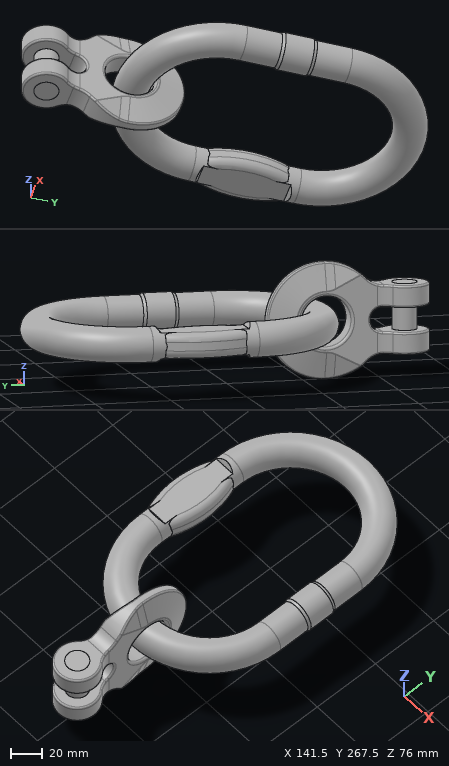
import cadquery as cq
import math

link_rod_diameter = 23.0
link_bend_radius = 56.5
link_straight_length = 70.0

weld_diameter = 24.5
weld_crest_length = 19.0
weld_chamfer_length = 2.1

swell_width = 32.5
swell_end_width = 22.5
swell_length = 53.5
swell_edge_radius = 5.5
flat_thickness = 16.8
flat_length = 58.0
flat_ramp_length = 2.1

overall_length = 267.5
eye_to_pin = 53.5
eye_outer_diameter = 76.0
eye_hole_diameter = 33.0
body_thickness = 16.5

taper_start_radius = 19.8
rim_thickness = 6.2
taper_bend_radius = 13.5
taper_runout_slope = 0.5

lug_diameter = 32.0
lug_span = 44.7
lug_gap = 16.0
slot_bottom_offset = 29.0
throat_radius = 15.5
flare_radius = 13.5
edge_round = 1.28
hole_edge_round = 2.0

pin_diameter = 16.0

rod_radius = link_rod_diameter / 2
half_straight = link_straight_length / 2
link_end_y = half_straight + link_bend_radius + rod_radius
flat_z = flat_thickness / 2
eye_radius = eye_outer_diameter / 2
half_body = body_thickness / 2
lug_radius = lug_diameter / 2
half_span = lug_span / 2
half_gap = lug_gap / 2
pin_y = link_end_y - overall_length + lug_radius
eye_y = pin_y + eye_to_pin
lug_end_y = pin_y - lug_radius


def make_rod():
    """Round bar swept along a closed oval path."""
    path = (
        cq.Workplane("XY")
        .moveTo(link_bend_radius, -half_straight)
        .lineTo(link_bend_radius, half_straight)
        .threePointArc((0, half_straight + link_bend_radius), (-link_bend_radius, half_straight))
        .lineTo(-link_bend_radius, -half_straight)
        .threePointArc((0, -half_straight - link_bend_radius), (link_bend_radius, -half_straight))
        .close()
    )
    section = cq.Workplane("XZ", origin=(link_bend_radius, -half_straight, 0)).circle(rod_radius)
    return section.sweep(path)


def make_weld():
    """Raised collar with chamfered ends on the +X side."""
    length = weld_crest_length + 2 * weld_chamfer_length
    crest = weld_diameter / 2
    return (
        cq.Workplane("XY", origin=(link_bend_radius, 0, 0))
        .moveTo(0, -length / 2)
        .lineTo(rod_radius, -length / 2)
        .lineTo(crest, -weld_crest_length / 2)
        .lineTo(crest, weld_crest_length / 2)
        .lineTo(rod_radius, length / 2)
        .lineTo(0, length / 2)
        .close()
        .revolve(360, (0, 0, 0), (0, 1, 0))
    )


def make_flat_cutter():
    """Trapezoid above the flat, with ramps at both ends that run out at the rod surface."""
    ramp_slope = flat_ramp_length / (rod_radius - flat_z)
    cutter_height = link_rod_diameter
    top_half = flat_length / 2 + ramp_slope * cutter_height
    return (
        cq.Workplane("YZ", origin=(-link_bend_radius, 0, flat_z))
        .polyline([
            (-flat_length / 2, 0),
            (flat_length / 2, 0),
            (top_half, cutter_height),
            (-top_half, cutter_height),
        ])
        .close()
        .extrude(swell_width / 2, both=True)
    )


def make_swell():
    """Bulged flat block with rounded long edges on the -X side."""
    end_x = swell_end_width / 2
    end_y = swell_length / 2
    return (
        cq.Workplane("XY", origin=(-link_bend_radius, 0, -flat_z))
        .moveTo(end_x, -end_y)
        .threePointArc((swell_width / 2, 0), (end_x, end_y))
        .lineTo(-end_x, end_y)
        .threePointArc((-swell_width / 2, 0), (-end_x, -end_y))
        .close()
        .extrude(flat_thickness)
        .edges("(<X or >X) and (not |Z)")
        .fillet(swell_edge_radius)
    )


def make_link():
    flat_cutter = make_flat_cutter()
    return (
        make_rod()
        .cut(flat_cutter)
        .cut(flat_cutter.mirror("XY"))
        .union(make_swell())
        .union(make_weld())
    )


def make_side_profile():
    """Eye disc blended into the lug block, seen along X and as wide as the lugs."""
    centre_height = half_span + throat_radius
    centre_distance = eye_radius + throat_radius
    centre_offset = math.sqrt(centre_distance ** 2 - centre_height ** 2)
    share = eye_radius / centre_distance
    rim_y = eye_y - centre_offset * share
    rim_z = centre_height * share
    flat_start_y = eye_y - centre_offset
    start_angle = math.atan2(centre_height, centre_offset)
    mid_angle = (start_angle + math.pi / 2) / 2
    mid_y = flat_start_y + throat_radius * math.cos(mid_angle)
    mid_z = centre_height - throat_radius * math.sin(mid_angle)
    return (
        cq.Workplane("YZ")
        .moveTo(rim_y, rim_z)
        .threePointArc((eye_y + eye_radius, 0), (rim_y, -rim_z))
        .threePointArc((mid_y, -mid_z), (flat_start_y, -half_span))
        .lineTo(lug_end_y, -half_span)
        .lineTo(lug_end_y, half_span)
        .lineTo(flat_start_y, half_span)
        .threePointArc((mid_y, mid_z), (rim_y, rim_z))
        .close()
        .extrude(lug_radius, both=True)
    )


def make_plan_profile():
    """Straight body flaring into the round lugs, seen along Z."""
    centre_x = half_body + flare_radius
    centre_distance = lug_radius + flare_radius
    centre_offset = math.sqrt(centre_distance ** 2 - centre_x ** 2)
    share = lug_radius / centre_distance
    lug_x = centre_x * share
    lug_y = pin_y + centre_offset * share
    flare_y = pin_y + centre_offset
    mid_angle = math.atan2(centre_offset, centre_x) / 2
    mid_x = centre_x - flare_radius * math.cos(mid_angle)
    mid_y = flare_y - flare_radius * math.sin(mid_angle)
    back_y = eye_y + eye_radius
    return (
        cq.Workplane("XY")
        .moveTo(half_body, back_y)
        .lineTo(half_body, flare_y)
        .threePointArc((mid_x, mid_y), (lug_x, lug_y))
        .threePointArc((0, lug_end_y), (-lug_x, lug_y))
        .threePointArc((-mid_x, mid_y), (-half_body, flare_y))
        .lineTo(-half_body, back_y)
        .close()
        .extrude(eye_radius, both=True)
    )


def make_slot():
    """Round-bottomed gap between the lugs."""
    round_y = eye_y - slot_bottom_offset - half_gap
    return (
        cq.Workplane("YZ")
        .moveTo(lug_end_y, half_gap)
        .lineTo(round_y, half_gap)
        .threePointArc((round_y + half_gap, 0), (round_y, -half_gap))
        .lineTo(lug_end_y, -half_gap)
        .close()
        .extrude(lug_radius, both=True)
    )


def make_taper_cutter():
    """Cutter for the +X face: a cone around the back of the eye, running out along the neck."""
    reach = 2 * (eye_radius - taper_start_radius)
    taper = (half_body - rim_thickness / 2) / (eye_radius - taper_start_radius)
    top_z = taper_start_radius + reach
    cone = (
        cq.Workplane("XZ", origin=(0, eye_y, 0))
        .polyline([
            (half_body, taper_start_radius),
            (half_body - taper * reach, top_z),
            (half_body, top_z),
        ])
        .close()
        .revolve(180, (2.7, 0, 0), (0, 0, 0))
    )

    bend_angle = math.atan(taper_runout_slope)
    bend_middle, bend_end = [
        (
            eye_y - taper_bend_radius * math.sin(angle),
            taper_start_radius + taper_bend_radius * (1 - math.cos(angle)),
        )
        for angle in (bend_angle / 2, bend_angle)
    ]
    end_y = bend_end[0] - eye_radius
    end_z = bend_end[1] + eye_radius * taper_runout_slope
    outline = (
        cq.Workplane("YZ", origin=(half_body, 0, 0))
        .moveTo(eye_y, taper_start_radius)
        .threePointArc(bend_middle, bend_end)
        .lineTo(end_y, end_z)
        .lineTo(end_y, top_z)
        .lineTo(eye_y, top_z)
        .close()
    )
    taper_direction = cq.Vector(-taper * reach, 0, reach)
    runout = cq.Workplane(cq.Solid.extrudeLinear(outline.wires().val(), [], taper_direction))
    return cone.union(runout).union(runout.mirror("XY"))


def round_outline(body):
    """Round the curved edges of the outer outline; the inner taper circle stays sharp."""
    outline = []
    for edge in body.edges("not %LINE").vals():
        box = edge.BoundingBox()
        if max(box.zmax, -box.zmin) > taper_start_radius + edge_round:
            outline.append(edge)
    return body.newObject(outline).fillet(edge_round)


def cut_slot(body):
    """Cut the gap between the lugs and round its edges."""
    slot_edges = cq.selectors.BoxSelector(
        (-lug_diameter, lug_end_y - edge_round, -half_gap - edge_round),
        (lug_diameter, eye_y - slot_bottom_offset + edge_round, half_gap + edge_round),
    )
    return body.cut(make_slot()).edges("not |X").edges(slot_edges).fillet(edge_round)


def cut_eye_hole(body):
    """Cut the hole for the link and round its two rims."""
    hole_radius = eye_hole_diameter / 2
    hole = cq.Workplane("YZ", origin=(-half_body, eye_y, 0)).circle(hole_radius).extrude(body_thickness)
    rims = cq.selectors.BoxSelector(
        (-body_thickness, eye_y - hole_edge_round, -hole_edge_round),
        (body_thickness, eye_y + hole_edge_round, hole_edge_round),
    )
    return body.cut(hole).edges("%CIRCLE").edges(rims).fillet(hole_edge_round)


def make_clevis():
    taper_cutter = make_taper_cutter()
    body = (
        make_side_profile()
        .intersect(make_plan_profile())
        .cut(taper_cutter)
        .cut(taper_cutter.mirror("YZ"))
    )
    body = round_outline(body)
    body = cut_slot(body)
    body = cut_eye_hole(body)
    return body.cut(make_pin())


def make_pin():
    """Pin flush with the outer faces of the lugs."""
    return cq.Workplane("XY", origin=(0, pin_y, -half_span)).circle(pin_diameter / 2).extrude(lug_span)


link = make_link()
clevis = make_clevis()
pin = make_pin()

result = cq.Compound.makeCompound([link.val(), clevis.val(), pin.val()])